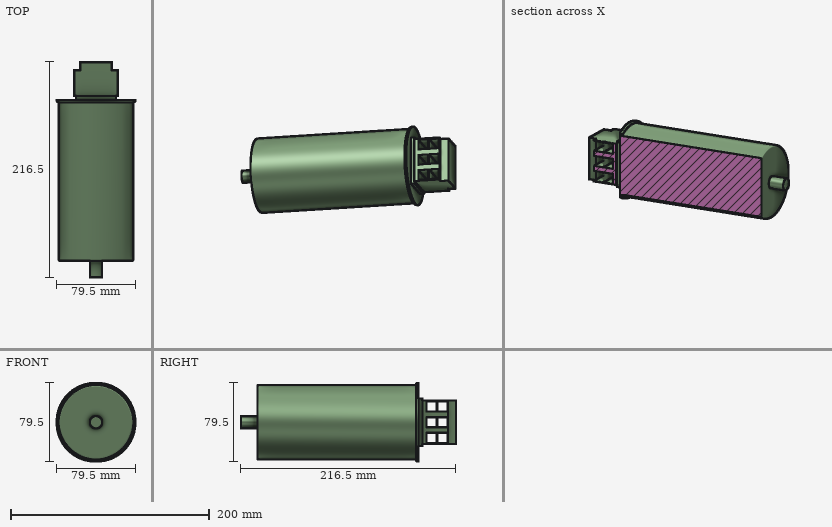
import cadquery as cq

total_length = 216.5
stud_length = 16.5
can_length = 162.2
collar_length = 4.0
can_front = stud_length
can_back = can_front + can_length
terminal_front = can_back + collar_length
terminal_length = total_length - terminal_front

stud_diameter = 12.5
can_radius = 37.7
can_edge_radius = 2.0
rim_diameter = 79.5
rim_radius = rim_diameter / 2
rim_width = 2.5

collar_width = 40.3
collar_height = 47.8
terminal_size = 44.0
step_width = 32.0
step_length = 8.0

opening_size = 10.0
opening_rows = 3
row_pitch = 15.8
opening_columns = 2
column_pitch = 11.0
step_gap = 0.6
first_column = total_length - step_length - step_gap - opening_size / 2


def cylinder_along_y(radius, start, length):
    """Solid cylinder on the Y axis, running toward +Y."""
    return cq.Workplane("XZ", origin=(0, start, 0)).circle(radius).extrude(-length)


def block_along_y(width, height, start, length):
    """Solid block centred on the Y axis, running toward +Y."""
    return cq.Workplane("XZ", origin=(0, start, 0)).rect(width, height).extrude(-length)


def make_can():
    """Can with a rounded front edge and a rim at the back."""
    can = cylinder_along_y(can_radius, can_front, can_length).faces("<Y").edges().fillet(can_edge_radius)
    rim_front = can_back - rim_width
    rim_depth = rim_radius - can_radius
    rim_curve_radius = (rim_width**2 + rim_depth**2) / (2 * rim_depth)
    rim = (
        cq.Workplane("XY")
        .moveTo(0, rim_front)
        .lineTo(can_radius, rim_front)
        .radiusArc((rim_radius, can_back), -rim_curve_radius)
        .lineTo(0, can_back)
        .close()
        .revolve(360, (0, 0, 0), (0, 1, 0))
    )
    return can.union(rim)


def make_terminal():
    """Terminal block, narrowed at the back and pierced by square openings along X."""
    terminal = block_along_y(terminal_size, terminal_size, terminal_front, terminal_length - step_length)
    step = block_along_y(step_width, terminal_size, total_length - step_length, step_length)
    terminal = terminal.union(step)
    for column in range(opening_columns):
        for row in range(opening_rows):
            y = first_column - column * column_pitch
            z = (row - (opening_rows - 1) / 2) * row_pitch
            opening = cq.Workplane("XY").box(terminal_size, opening_size, opening_size)
            terminal = terminal.cut(opening.translate((0, y, z)))
    return terminal


stud = cylinder_along_y(stud_diameter / 2, 0, stud_length)
collar = block_along_y(collar_width, collar_height, can_back, collar_length)
result = make_can().union(stud).union(collar).union(make_terminal())